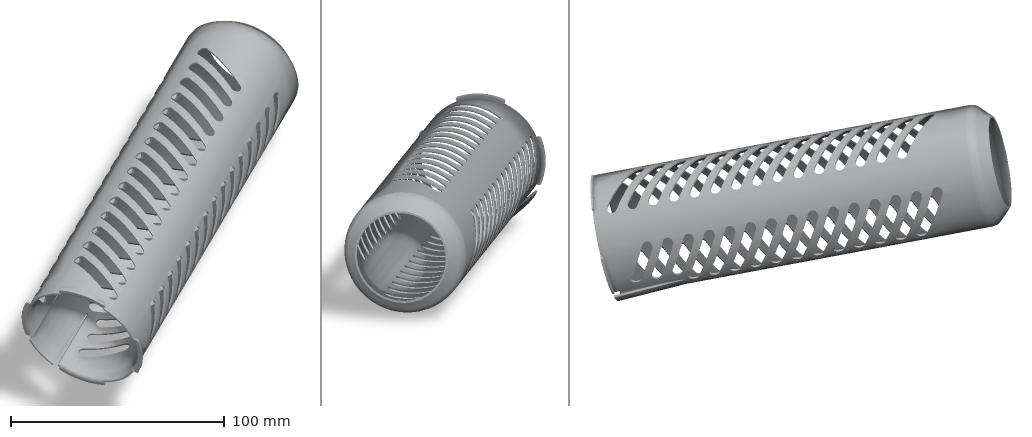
import cadquery as cq
import math


LENGTH = 190.0
OUTER_RADIUS = 58.0 / 2
INNER_RADIUS = 56.0 / 2
WALL = OUTER_RADIUS - INNER_RADIUS
TAPER = 6.8
BEND_RADIUS = 6.0

SIDES = 4
SIDE_ANGLE = 360 / SIDES
SLOTS_PER_SIDE = 15
SLOT_ROW_LENGTH = 140.0
SLOT_PITCH = SLOT_ROW_LENGTH / (SLOTS_PER_SIDE - 1)
SLOT_WIDTH = 5.0
SLOT_SPAN = 26.6
SHORT_SLOT_SPAN = 19.0
SHORT_SLOTS = 3
SLOT_TILT = 30
FIRST_SLOT_Y = 16.0
CUT_MARGIN = 5.7
CUT_START = INNER_RADIUS - CUT_MARGIN
CUT_DEPTH = 9.5

FLANGE_RADIUS = 62.0 / 2
INSIDE_BEND = 0.5
OUTSIDE_BEND = INSIDE_BEND + WALL
FLANGE_HALF_ANGLE = 23
FLANGE_CORNER = 1.1

TAB_ANGLE = 225
TAB_HALF_WIDTH = 8.5
TAB_LENGTH = 32.9
TAB_FLARE = 2.0
SLIT_WIDTH = 1.0
SLIT_LENGTH = 34.0


def turned(body, angle):
    """Turn a body about the sleeve axis, from +X towards +Z."""
    return body.rotate((0, 0, 0), (0, 1, 0), -angle)


def tapered_cylinder(radius, bend_radius):
    """Solid cylinder with a 45 degree taper at its far end and a rounded start to the taper."""
    cylinder = cq.Workplane("XZ").circle(radius).extrude(-LENGTH)
    tapered = cylinder.faces(">Y").chamfer(TAPER)
    return tapered.faces("%CYLINDER").edges(">Y").fillet(bend_radius)


def make_tube():
    outside = tapered_cylinder(OUTER_RADIUS, BEND_RADIUS)
    inside = tapered_cylinder(INNER_RADIUS, BEND_RADIUS - WALL)
    return outside.cut(inside)


def make_slot(index, span, shift):
    """Slot cutter on the +Z side; shift moves it along its own slant."""
    slant = math.radians(SLOT_TILT)
    x = shift * math.cos(slant)
    y = FIRST_SLOT_Y + index * SLOT_PITCH - shift * math.sin(slant)
    return (
        cq.Workplane("XY", origin=(0, 0, CUT_START))
        .center(x, y)
        .slot2D(span + SLOT_WIDTH, SLOT_WIDTH, -SLOT_TILT)
        .extrude(CUT_DEPTH)
    )


def make_slot_row(short_shift):
    """Row of slots on the +Z side; short_shift is the +X (1) or -X (-1) end kept by short slots, or 0."""
    row = cq.Workplane("XY")
    for index in range(SLOTS_PER_SIDE):
        shortened = short_shift != 0 and index < SHORT_SLOTS
        span = SHORT_SLOT_SPAN if shortened else SLOT_SPAN
        shift = short_shift * (SLOT_SPAN - span) / 2
        row.add(make_slot(index, span, shift))
    return row.combine()


def flange_sector(section):
    """Revolve a section of the XY plane into a flange sector centred on +X."""
    sector = section.revolve(2 * FLANGE_HALF_ANGLE, (0, 0, 0), (0, 1, 0))
    centre_x, _, centre_z = sector.val().Center().toTuple()
    return turned(sector, -math.degrees(math.atan2(centre_z, centre_x)))


def make_flange_clearance():
    """Stretch of plain wall that the bent flange segment replaces."""
    section = cq.Workplane("XY").moveTo(INNER_RADIUS, 0).rect(WALL, OUTSIDE_BEND, centered=False)
    return flange_sector(section)


def make_flange_segment():
    """Flange segment with a round bend from the wall into the flat rim."""
    bend_x = OUTER_RADIUS + INSIDE_BEND
    bend_y = OUTSIDE_BEND
    diagonal = math.sqrt(0.5)
    outside_middle = (bend_x - OUTSIDE_BEND * diagonal, bend_y - OUTSIDE_BEND * diagonal)
    inside_middle = (bend_x - INSIDE_BEND * diagonal, bend_y - INSIDE_BEND * diagonal)
    section = (
        cq.Workplane("XY")
        .moveTo(INNER_RADIUS, bend_y)
        .threePointArc(outside_middle, (bend_x, 0))
        .lineTo(FLANGE_RADIUS, 0)
        .lineTo(FLANGE_RADIUS, WALL)
        .lineTo(bend_x, WALL)
        .threePointArc(inside_middle, (OUTER_RADIUS, bend_y))
        .close()
    )
    return flange_sector(section).edges("|Y").edges(">Z or <Z").fillet(FLANGE_CORNER)


def make_tab_opening():
    """Cutter on +X that clears the tab area and leaves the slits beside its root."""
    half_width = TAB_HALF_WIDTH + SLIT_WIDTH
    depth = 2 * (OUTER_RADIUS - CUT_START)
    window = cq.Workplane("XY").box(depth, TAB_LENGTH, 2 * half_width, centered=(True, False, True))
    slit = cq.Workplane("XY").box(depth, SLIT_LENGTH, SLIT_WIDTH, centered=(True, False, True))
    slit_offset = TAB_HALF_WIDTH + SLIT_WIDTH / 2
    for side in (-1, 1):
        window = window.union(slit.translate((0, 0, side * slit_offset)))
    return window.translate((OUTER_RADIUS, 0, 0))


def tab_section(workplane, flare):
    """Curved cross section of the tab, moved outward by the flare."""
    outer_x = flare + math.sqrt(OUTER_RADIUS**2 - TAB_HALF_WIDTH**2)
    inner_x = flare + math.sqrt(INNER_RADIUS**2 - TAB_HALF_WIDTH**2)
    return (
        workplane.moveTo(inner_x, -TAB_HALF_WIDTH)
        .lineTo(outer_x, -TAB_HALF_WIDTH)
        .threePointArc((OUTER_RADIUS + flare, 0), (outer_x, TAB_HALF_WIDTH))
        .lineTo(inner_x, TAB_HALF_WIDTH)
        .threePointArc((INNER_RADIUS + flare, 0), (inner_x, -TAB_HALF_WIDTH))
        .close()
    )


def make_tab():
    """Tab on +X, straight from its root in the wall to its flared tip at the mouth."""
    tip = tab_section(cq.Workplane("XZ"), TAB_FLARE)
    return tab_section(tip.workplane(offset=-TAB_LENGTH), 0).loft(ruled=True)


sleeve = make_tube()

plain_row = make_slot_row(0)
sleeve = sleeve.cut(plain_row)
sleeve = sleeve.cut(turned(plain_row, -SIDE_ANGLE))
sleeve = sleeve.cut(turned(make_slot_row(1), SIDE_ANGLE))
sleeve = sleeve.cut(turned(make_slot_row(-1), 2 * SIDE_ANGLE))

flange_clearance = make_flange_clearance()
flange_segment = make_flange_segment()
for side in range(SIDES):
    sleeve = sleeve.cut(turned(flange_clearance, side * SIDE_ANGLE))
    sleeve = sleeve.union(turned(flange_segment, side * SIDE_ANGLE))

sleeve = sleeve.cut(turned(make_tab_opening(), TAB_ANGLE))
result = sleeve.union(turned(make_tab(), TAB_ANGLE))